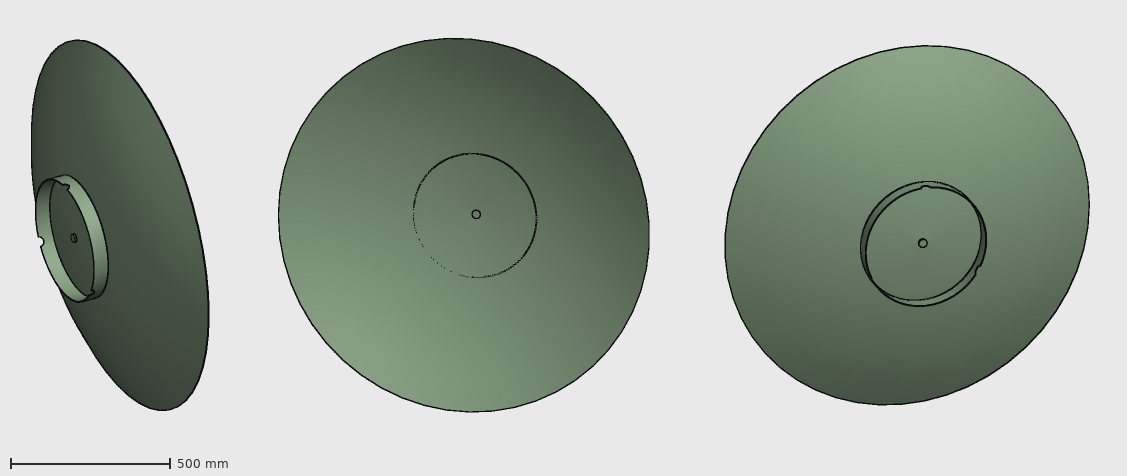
import cadquery as cq
import math

sphere_radius = 1200.0
dish_radius = 600.0
dish_thickness = 3.0
inner_sphere_radius = sphere_radius - dish_thickness

ring_outer_radius = 200.0
ring_wall = 3.0
ring_inner_radius = ring_outer_radius - ring_wall

overall_depth = 198.2

notch_count = 3
notch_radius = 15.0

pin_radius = 13.5
pin_protrusion = 5.0


def dish_y(radius, distance):
    """Y on the -Y side of a sphere about the origin, at a distance from the Y axis."""
    return -math.sqrt(radius**2 - distance**2)


rim_back = dish_y(inner_sphere_radius, dish_radius)
ring_front = rim_back - overall_depth
ring_seat_edge = dish_y(sphere_radius, ring_outer_radius)
pin_back = -inner_sphere_radius
pin_front = -sphere_radius - pin_protrusion


def make_dish():
    """Shell profile from the pin hole out to the rim, turned about the Y axis."""
    profile = (
        cq.Workplane("XY")
        .moveTo(pin_radius, dish_y(sphere_radius, pin_radius))
        .radiusArc((dish_radius, dish_y(sphere_radius, dish_radius)), -sphere_radius)
        .lineTo(dish_radius, rim_back)
        .radiusArc((pin_radius, dish_y(inner_sphere_radius, pin_radius)), inner_sphere_radius)
        .close()
    )
    return profile.revolve(360, (0, 0, 0), (0, 1, 0))


def make_notch_cutter(angle):
    """Round bar reaching from the Y axis out through the ring wall, turned about Y."""
    bar_length = ring_outer_radius + notch_radius
    bar = cq.Workplane("XY", origin=(0, ring_front, 0)).circle(notch_radius).extrude(bar_length)
    return bar.rotate((0, 0, 0), (0, 1, 0), angle)


def make_ring():
    """Tube whose base follows the convex face of the dish, notched along its free edge."""
    ring = (
        cq.Workplane("XZ", origin=(0, ring_seat_edge, 0))
        .circle(ring_outer_radius)
        .circle(ring_inner_radius)
        .extrude(ring_seat_edge - ring_front)
    )
    ring = ring.cut(cq.Workplane("XY").sphere(sphere_radius))
    for i in range(notch_count):
        ring = ring.cut(make_notch_cutter(i * 360 / notch_count))
    return ring


def make_pin():
    """Plain round pin filling the hole in the dish and standing proud of its convex side."""
    return cq.Workplane("XZ", origin=(0, pin_back, 0)).circle(pin_radius).extrude(pin_back - pin_front)


dish = make_dish()
ring = make_ring()
pin = make_pin()

result = cq.Compound.makeCompound([dish.val(), ring.solids().val(), pin.val()])